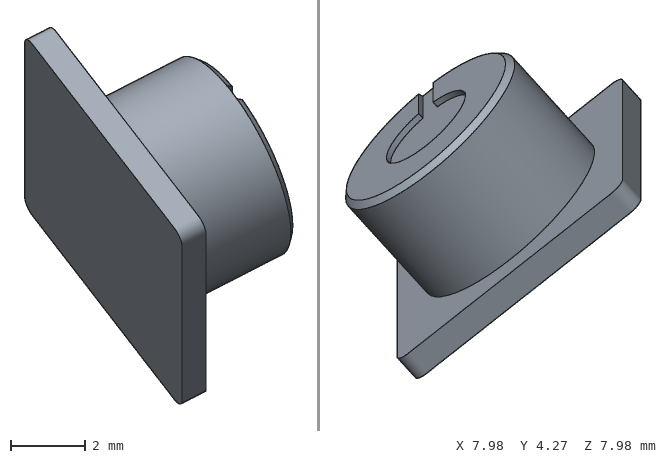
import cadquery as cq

plate_side = 7.98
plate_thickness = 0.77
corner_radius = 0.4
total_depth = 4.27
boss_diameter = 5.985
boss_chamfer = 0.175

recess_diameter = 2.79
recess_depth = boss_chamfer
channel_width = 0.51

plate = (
    cq.Workplane("XZ")
    .rect(plate_side, plate_side)
    .extrude(-plate_thickness)
    .edges("|Y")
    .fillet(corner_radius)
)

boss = (
    cq.Workplane("XZ")
    .circle(boss_diameter / 2)
    .extrude(-total_depth)
    .faces(">Y")
    .chamfer(boss_chamfer)
)

recess_floor = cq.Workplane("XZ", origin=(0, total_depth - recess_depth, 0))

recess = recess_floor.circle(recess_diameter / 2).extrude(-recess_depth)

channel_length = boss_diameter / 2
channel = (
    recess_floor
    .center(0, channel_length / 2)
    .rect(channel_width, channel_length)
    .extrude(-recess_depth)
)

result = plate.union(boss).cut(recess).cut(channel)